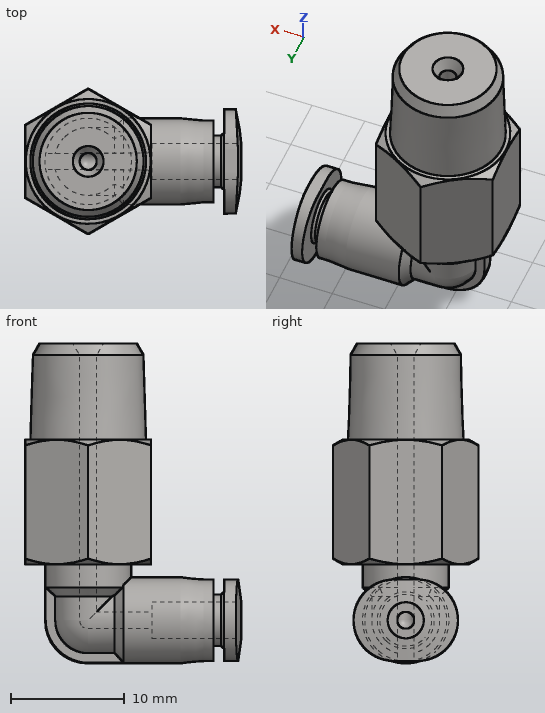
import cadquery as cq
import math


top_z = 24.4
thread_tip_z = 23.38
thread_base_z = 15.93
thread_face_radius = 4.3
thread_tip_radius = 4.88
thread_base_radius = 5.1

hex_flats = 11.1
hex_bottom_z = 4.9
hex_corner_radius = hex_flats / math.sqrt(3)
hex_chamfer_radius = 5.5
hex_chamfer_height = (hex_corner_radius - hex_chamfer_radius) * math.tan(math.radians(30))

body_radius = 3.8
elbow_radius = 3.0
shoulder_height = 0.8
neck_shoulder_z = 2.9
branch_shoulder_x = 3.13
rib_width = 1.4

taper_start_x = 8.15
taper_end_x = 10.18
branch_end_x = 11.05
branch_end_radius = 3.6
sleeve_radius = 2.28
flare_start_x = 11.7
collar_x = 11.98
flare_radius = 2.5

collar_apex_x = 13.56
collar_height = 7.2
collar_radius = collar_height / 2
collar_offset = 1.02
collar_dome_radius = 19.18

bore_diameter = 1.5
bore_mouth_diameter = 2.7
countersink_depth = 1.05
socket_diameter = 3.2
socket_stop_x = 5.65


def turned_about_z(points):
    """Revolve a closed (radius, height) outline about the Z axis."""
    return cq.Workplane("XZ").polyline(points).close().revolve(360, (0, 0, 0), (0, 1, 0))


def turned_about_x(points):
    """Revolve a closed (x, radius) outline about the X axis."""
    return cq.Workplane("XY").polyline(points).close().revolve(360, (0, 0, 0), (1, 0, 0))


def make_hexagon():
    """Hexagon with flats facing X and both ends turned to a shallow cone."""
    prism = (
        cq.Workplane("XY", origin=(0, 0, hex_bottom_z))
        .polygon(6, 2 * hex_corner_radius)
        .extrude(thread_base_z - hex_bottom_z)
        .rotate((0, 0, 0), (0, 0, 1), 30)
    )
    envelope = turned_about_z([
        (0, hex_bottom_z),
        (hex_chamfer_radius, hex_bottom_z),
        (hex_corner_radius, hex_bottom_z + hex_chamfer_height),
        (hex_corner_radius, thread_base_z - hex_chamfer_height),
        (hex_chamfer_radius, thread_base_z),
        (0, thread_base_z),
    ])
    return prism.intersect(envelope)


def make_thread():
    """Tapered thread blank with a chamfered tip."""
    return turned_about_z([
        (0, thread_base_z),
        (thread_base_radius, thread_base_z),
        (thread_tip_radius, thread_tip_z),
        (thread_face_radius, top_z),
        (0, top_z),
    ])


def make_neck():
    """Round neck under the hexagon, coned down to the elbow."""
    return turned_about_z([
        (0, neck_shoulder_z - shoulder_height),
        (elbow_radius, neck_shoulder_z - shoulder_height),
        (body_radius, neck_shoulder_z),
        (body_radius, hex_bottom_z),
        (0, hex_bottom_z),
    ])


def make_bend(radius, stem_length, branch_length):
    """Two round legs joined by a ball at the elbow centre."""
    stem = cq.Workplane("XY").circle(radius).extrude(stem_length)
    branch = cq.Workplane("YZ").circle(radius).extrude(branch_length)
    return cq.Workplane("XY").sphere(radius).union(stem).union(branch)


def make_rib():
    """Central web: a slice of a full-size bend, flush with the neck and branch."""
    full_bend = make_bend(body_radius, neck_shoulder_z, branch_shoulder_x)
    slab = cq.Workplane("XY").box(4 * body_radius, rib_width, 4 * body_radius)
    return full_bend.intersect(slab)


def make_branch():
    """Tube socket body and the narrow sleeve that carries the collar."""
    return turned_about_x([
        (branch_shoulder_x - shoulder_height, 0),
        (branch_shoulder_x - shoulder_height, elbow_radius),
        (branch_shoulder_x, body_radius),
        (taper_start_x, body_radius),
        (taper_end_x, branch_end_radius),
        (branch_end_x, branch_end_radius),
        (branch_end_x, sleeve_radius),
        (flare_start_x, sleeve_radius),
        (collar_x, flare_radius),
        (collar_x, 0),
    ])


def make_collar():
    """Oblong release collar, wide along Y, with a domed outer face."""
    oblong = (
        cq.Workplane("YZ", origin=(collar_x, 0, 0))
        .slot2D(2 * (collar_radius + collar_offset), collar_height)
        .extrude(collar_apex_x - collar_x)
    )
    dome = cq.Workplane("XY", origin=(collar_apex_x - collar_dome_radius, 0, 0)).sphere(collar_dome_radius)
    return oblong.intersect(dome)


def make_passage():
    """Bent through bore with a countersunk mouth and a wider tube socket."""
    mouth = turned_about_z([
        (0, top_z - countersink_depth),
        (bore_diameter / 2, top_z - countersink_depth),
        (bore_mouth_diameter / 2, top_z),
        (0, top_z),
    ])
    socket = (
        cq.Workplane("YZ", origin=(socket_stop_x, 0, 0))
        .circle(socket_diameter / 2)
        .extrude(collar_apex_x - socket_stop_x)
    )
    return make_bend(bore_diameter / 2, top_z, socket_stop_x).union(mouth).union(socket)


result = (
    make_hexagon()
    .union(make_thread())
    .union(make_neck())
    .union(make_bend(elbow_radius, neck_shoulder_z, branch_shoulder_x))
    .union(make_rib())
    .union(make_branch())
    .union(make_collar())
    .cut(make_passage())
)